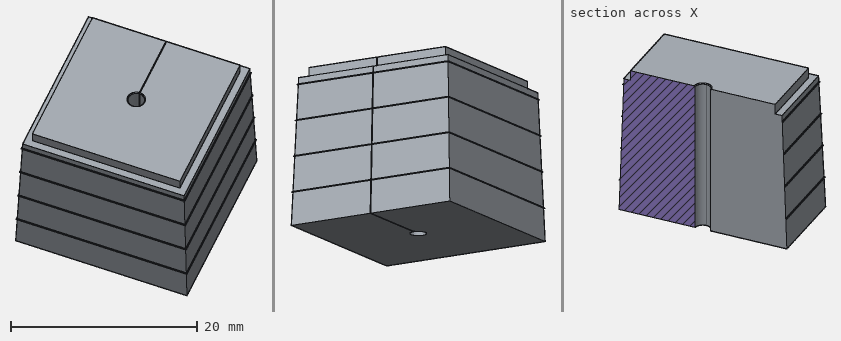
import cadquery as cq
import math

base_side = 19.9
total_height = 17.7
wall_draft = 2.0

pad_side = 17.13
pad_height = 1.2
shoulder_z = total_height - pad_height

ridge_count = 4
first_ridge_z = 3.7
ridge_pitch = 4.0
ridge_height = 0.1
ridge_reach = 0.1

bore_diameter = 1.8
bore_chamfer = 0.1
slit_width = 0.1


def wall_side(z):
    """Side length of the drafted block at height z."""
    return base_side - 2 * z * math.tan(math.radians(wall_draft))


def square_frustum(bottom_z, bottom_side, top_z, top_side):
    """Square solid whose side changes evenly between two heights."""
    return (
        cq.Workplane("XY", origin=(0, 0, bottom_z))
        .rect(bottom_side, bottom_side)
        .workplane(offset=top_z - bottom_z)
        .rect(top_side, top_side)
        .loft(ruled=True)
    )


def ridge(bottom_z):
    """Sharp ridge that dies into the wall at its upper edge."""
    top_z = bottom_z + ridge_height
    tip_side = wall_side(bottom_z) + 2 * ridge_reach
    return square_frustum(bottom_z, tip_side, top_z, wall_side(top_z))


body = square_frustum(0, base_side, shoulder_z, wall_side(shoulder_z))
for i in range(ridge_count):
    body = body.union(ridge(first_ridge_z + i * ridge_pitch))
pad = cq.Workplane("XY", origin=(0, 0, shoulder_z)).rect(pad_side, pad_side).extrude(pad_height)
body = body.union(pad)

body = body.faces(">Z").workplane().hole(bore_diameter)
body = body.faces(">Z").edges("%CIRCLE").chamfer(bore_chamfer)

slit_length = base_side / 2
slit = (
    cq.Workplane("XY")
    .center(0, slit_length / 2)
    .rect(slit_width, slit_length)
    .extrude(total_height)
)

result = body.cut(slit)